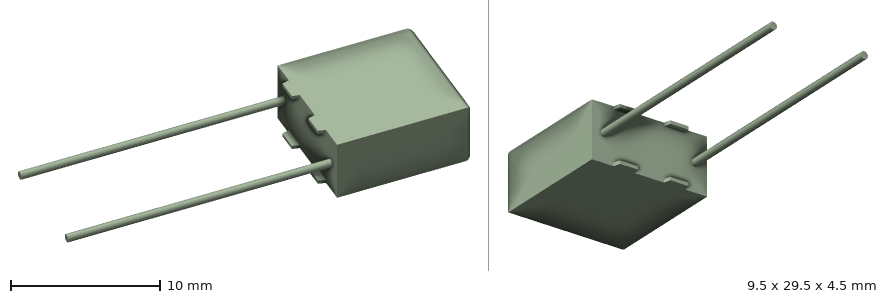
import cadquery as cq

total_length = 29.5
housing_width = 9.5
housing_length = 10.0
housing_height = 4.5
back_edge_radius = 0.5

tab_spacing = 4.15
tab_root_width = 1.77
tab_tip_width = 1.5
tab_length = 0.53
tab_thickness = 0.27

lead_spacing = 7.5
lead_diameter = 0.6
lead_length = total_length - housing_length



def make_tab(x_center, z_bottom):
    """Tapered tab that stands out from the lead face toward -Y."""
    half_root = tab_root_width / 2
    half_tip = tab_tip_width / 2
    return (
        cq.Workplane("XY", origin=(x_center, 0, z_bottom))
        .moveTo(-half_root, 0)
        .lineTo(-half_tip, -tab_length)
        .lineTo(half_tip, -tab_length)
        .lineTo(half_root, 0)
        .close()
        .extrude(tab_thickness)
    )


def make_housing():
    """Block with a rounded back rim and four tabs on the lead face."""
    housing = (
        cq.Workplane("XY")
        .box(housing_width, housing_length, housing_height, centered=(True, False, True))
        .faces(">Y")
        .edges()
        .fillet(back_edge_radius)
    )
    lower_tab_bottom = -housing_height / 2
    upper_tab_bottom = housing_height / 2 - tab_thickness
    for x_center in (-tab_spacing / 2, tab_spacing / 2):
        for z_bottom in (lower_tab_bottom, upper_tab_bottom):
            housing = housing.union(make_tab(x_center, z_bottom))
    return housing


def make_lead(x_center):
    """Straight round wire that starts on the lead face and runs toward -Y."""
    return (
        cq.Workplane("XZ", origin=(x_center, 0, 0))
        .circle(lead_diameter / 2)
        .extrude(lead_length)
    )


housing = make_housing()
leads = [make_lead(x_center).val() for x_center in (-lead_spacing / 2, lead_spacing / 2)]

result = cq.Compound.makeCompound([housing.val(), *leads])